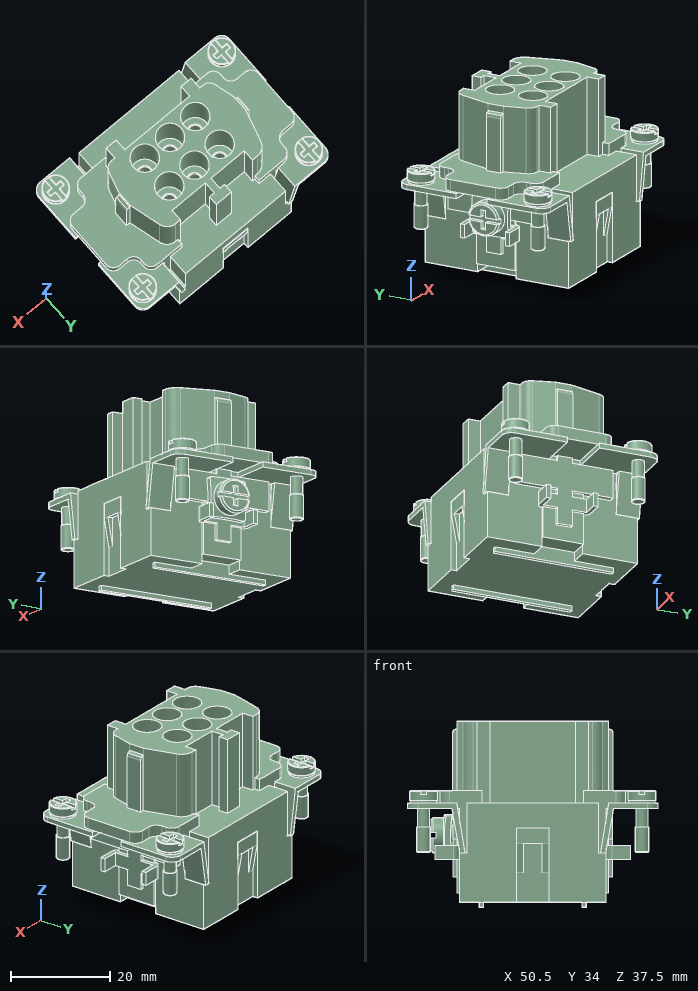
import cadquery as cq

hood_top = 36.5
body_top = 20.0
flange_top = 22.5

body_half_x = 14.8
body_half_y = 16.55
leg_seat_x = 13.25
leg_seat_z = 10.0
end_block_x = 16.1
end_block_half_y = 10.6
end_block_bottom = 12.8
end_pad_x = 15.3
end_pad_half_y = 4.45
end_pad_bottom = 1.9
foot_x = 10.35
foot_width = 0.9
foot_length = 26.1
foot_height = 1.0

latch_half_x = 3.25
latch_top = 15.0
latch_band_depth = 0.12
latch_band_bottom = 11.9
latch_depth = 1.2
latch_ramp_bottom = 6.0
latch_ramp_inner_x = 1.85

flange_half_x = 24.6
flange_end_half_y = 7.1
flange_shoulder_x = 18.65
flange_half_y = 11.85
flange_gap_x = 10.2
flange_radius = 1.9

hood_nose_x = 15.3
hood_nose_half_y = 1.75
hood_side_slope = 0.277
hood_back_y = 10.6
hood_back_wall_y = 8.05
hood_back_gap_x = 9.55
hood_front_y = 7.75
hood_lug_y = 10.4
hood_lug_inner_x = 8.6
hood_lug_outer_x = 11.25
hood_back_radius = 2.65
hood_front_radius = 2.05
key_stem_half_x = 0.75
key_head_half_x = 2.0
key_neck_y = 10.8
key_end_y = 12.9
rib_x = 16.2
rib_half_y = 1.67
rib_top = 35.0
rib_shoulder_x = 16.0
rib_shoulder_z = 34.7
rib_face_top = 34.05

cavity_pitch_x = 6.68
cavity_pitch_y = 7.6
cavity_radius = 2.95
cavity_depth = 12.0
contact_radius = 1.4
contact_depth = 8.0
contact_chamfer = 0.2

plate_half_x = 25.25
plate_half_y = 17.0
plate_thickness = 1.1
plate_corner_radius = 2.1
plate_notch_half_y = 3.55
plate_relief = 0.5
leg_top_outer_x = 16.3
leg_top_inner_x = 15.3
leg_foot_outer_x = 14.7
leg_foot_inner_x = 13.65
leg_inner_y = 11.85
tab_half_y = 1.67
tab_bottom = 5.1
arm_half_y = 5.7
arm_bottom = 8.6
arm_top = 11.5
arm_thickness = 1.0
arm_tip_x = 19.7
arm_bend_radius = 1.2

screw_x = 22.0
screw_y = 13.5
screw_head_radius = 2.8
screw_neck_radius = 2.65
screw_neck_height = 0.5
screw_head_chamfer = 0.15
screw_shank_radius = 1.25
screw_thread_radius = 1.4
screw_thread_top = 15.15
screw_tip_z = 10.1
screw_tip_chamfer = 0.15
screw_slot_width = 1.1
screw_slot_depth = 0.75
screw_cross_length = 3.6

terminal_z = 13.55
washer_size = 8.3
washer_crown_x = 18.25
washer_dome_radius = 20.8
washer_thickness = 1.25
washer_corner_radius = 0.4
terminal_shank_radius = 2.0
terminal_head_x = 20.5
terminal_head_radius = 3.55
terminal_head_chamfer = 0.4
terminal_slot_width = 1.05
terminal_slot_depth = 1.0
terminal_cross_length = 4.1

plate_bottom = body_top - plate_thickness
SIDES = (-1, 1)


def box(x0, x1, y0, y1, z0, z1):
    """Box between the given limits; limits on an axis may come in either order."""
    size = (abs(x1 - x0), abs(y1 - y0), abs(z1 - z0))
    middle = ((x0 + x1) / 2, (y0 + y1) / 2, (z0 + z1) / 2)
    return cq.Workplane("XY").box(*size).translate(middle)


def mirrored_ends(solid):
    """The solid together with its mirror image at the other X end."""
    return solid.union(solid.mirror("YZ"))


def make_latch_recess():
    """Cutter for the -Y face: a recess with a ramp along each side, under a shallow band."""
    face_y = -body_half_y
    floor_y = face_y + latch_depth
    band_y = face_y + latch_band_depth
    band = box(-latch_half_x, latch_half_x, face_y, band_y, latch_band_bottom, latch_top)
    cutter = box(-latch_half_x, latch_half_x, face_y, floor_y, 0, latch_band_bottom).union(band)
    ramp_outline = [
        (floor_y, latch_ramp_bottom),
        (floor_y, latch_band_bottom),
        (band_y, latch_band_bottom),
    ]
    ramp_width = latch_half_x - latch_ramp_inner_x
    for start_x in (-latch_half_x, latch_ramp_inner_x):
        ramp = cq.Workplane("YZ").workplane(offset=start_x).polyline(ramp_outline).close().extrude(ramp_width)
        cutter = cutter.cut(ramp)
    return cutter


def make_body():
    body = box(-body_half_x, body_half_x, -body_half_y, body_half_y, 0, body_top)
    for side_x in SIDES:
        for side_y in SIDES:
            body = body.cut(box(
                side_x * leg_seat_x, side_x * body_half_x,
                side_y * leg_inner_y, side_y * body_half_y,
                leg_seat_z, body_top,
            ))
        body = body.union(box(
            0, side_x * end_block_x, -end_block_half_y, end_block_half_y, end_block_bottom, plate_bottom,
        ))
        body = body.union(box(
            0, side_x * end_pad_x, -end_pad_half_y, end_pad_half_y, end_pad_bottom, end_block_bottom,
        ))
        body = body.cut(box(
            side_x * (foot_x + foot_width / 2), side_x * body_half_x,
            -end_pad_half_y, end_pad_half_y, 0, end_pad_bottom,
        ))
        foot = cq.Workplane("XY").box(foot_width, foot_length, foot_height, centered=(True, True, False))
        body = body.union(foot.translate((side_x * foot_x, 0, -foot_height)))
    latch = make_latch_recess()
    return body.cut(latch).cut(latch.mirror("XZ"))


def make_flange():
    height = flange_top - body_top
    wide = cq.Workplane("XY").rect(2 * flange_half_x, 2 * flange_end_half_y).extrude(height)
    deep = cq.Workplane("XY").rect(2 * flange_shoulder_x, 2 * flange_half_y).extrude(height)
    flange = wide.union(deep).edges("|Z").fillet(flange_radius)
    for side in SIDES:
        wall_y = hood_back_wall_y if side > 0 else -hood_front_y
        flange = flange.cut(box(-flange_gap_x, flange_gap_x, wall_y, side * flange_half_y, 0, height))
    return flange.translate((0, 0, body_top))


def make_hood():
    height = hood_top - body_top
    back_corner_x = hood_nose_x - hood_side_slope * (hood_back_y - hood_nose_half_y)
    front_corner_x = hood_nose_x - hood_side_slope * (hood_front_y - hood_nose_half_y)
    right_half = [
        (back_corner_x, hood_back_y),
        (hood_nose_x, hood_nose_half_y),
        (hood_nose_x, -hood_nose_half_y),
        (front_corner_x, -hood_front_y),
    ]
    left_half = [(-x, y) for x, y in reversed(right_half)]
    hood = cq.Workplane("XY").polyline(right_half + left_half).close().extrude(height)
    hood = hood.edges("|Z and >Y").fillet(hood_back_radius)
    hood = hood.edges("|Z and <Y").fillet(hood_front_radius)
    hood = hood.cut(box(-hood_back_gap_x, hood_back_gap_x, hood_back_wall_y, hood_back_y, 0, height))
    for side in SIDES:
        hood = hood.union(box(
            side * hood_lug_inner_x, side * hood_lug_outer_x, -hood_lug_y, 0, 0, height,
        ))
    hood = hood.union(box(-key_stem_half_x, key_stem_half_x, 0, key_neck_y, 0, height))
    hood = hood.union(box(-key_head_half_x, key_head_half_x, key_neck_y, key_end_y, 0, height))
    hood = hood.translate((0, 0, body_top))
    rib_outline = [
        (0, body_top),
        (rib_x, body_top),
        (rib_x, rib_face_top),
        (rib_shoulder_x, rib_shoulder_z),
        (hood_nose_x, rib_top),
        (0, rib_top),
    ]
    rib = cq.Workplane("XZ").polyline(rib_outline).close().extrude(rib_half_y, both=True)
    return hood.union(mirrored_ends(rib))


def make_cavities():
    """Cutter for the six contact cavities and the sockets in their floors."""
    floor_z = hood_top - cavity_depth
    mouth_radius = contact_radius + contact_chamfer
    socket_end = floor_z - contact_depth
    profile = (
        cq.Workplane("XZ")
        .moveTo(0, hood_top)
        .lineTo(cavity_radius, hood_top)
        .lineTo(cavity_radius, floor_z)
        .lineTo(mouth_radius, floor_z)
        .lineTo(contact_radius, floor_z - contact_chamfer)
        .lineTo(contact_radius, socket_end)
        .radiusArc((0, socket_end - contact_radius), contact_radius)
        .close()
    )
    cavity = profile.revolve(360, (0, 0, 0), (0, 1, 0))
    places = cq.Workplane("XY").rarray(cavity_pitch_x, cavity_pitch_y, 3, 2)
    return places.eachpoint(lambda place: cavity.val().moved(place))


def make_earth_tab():
    """Bent-down tab on the +X plate, with a pair of arms reaching outwards."""
    tab = box(body_half_x, end_block_x, -tab_half_y, tab_half_y, tab_bottom, body_top)
    clamp = box(body_half_x, arm_tip_x, -arm_half_y, arm_half_y, arm_bottom, arm_top)
    clamp = clamp.edges("|Z and <X").fillet(arm_bend_radius)
    arm_inner_y = arm_half_y - arm_thickness
    clamp = clamp.cut(box(end_block_x, arm_tip_x, -arm_inner_y, arm_inner_y, arm_bottom, arm_top))
    return tab.union(clamp)


def make_plate():
    """Mounting plate for the +X end, with its two sloping legs and the earth tab."""
    plate = box(body_half_x, plate_half_x, -plate_half_y, plate_half_y, plate_bottom, body_top)
    plate = plate.edges("|Z and >X").fillet(plate_corner_radius)
    plate = plate.cut(box(
        end_block_x - plate_relief, plate_half_x,
        -plate_notch_half_y, plate_notch_half_y, plate_bottom, body_top,
    ))
    leg_outline = [
        (leg_top_outer_x, plate_bottom),
        (leg_top_outer_x, body_top),
        (leg_top_inner_x, body_top),
        (leg_foot_inner_x, leg_seat_z),
        (leg_foot_outer_x, leg_seat_z),
    ]
    leg_width = plate_half_y - leg_inner_y
    leg = cq.Workplane("XZ").workplane(offset=leg_inner_y).polyline(leg_outline).close().extrude(leg_width)
    for side in SIDES:
        plate = plate.cut(box(
            body_half_x, leg_top_inner_x, side * leg_inner_y, side * plate_half_y, plate_bottom, body_top,
        ))
    plate = plate.union(leg).union(leg.mirror("XZ"))
    return plate.union(make_earth_tab())


def make_screw():
    """Captive screw on the Z axis, head resting on the plate."""
    neck = cq.Workplane("XY").workplane(offset=body_top).circle(screw_neck_radius).extrude(screw_neck_height)
    head_bottom = body_top + screw_neck_height
    head = cq.Workplane("XY").workplane(offset=head_bottom).circle(screw_head_radius)
    head = head.extrude(flange_top - head_bottom).faces(">Z").edges().chamfer(screw_head_chamfer)
    slot_floor = flange_top - screw_slot_depth
    half_width = screw_slot_width / 2
    half_cross = screw_cross_length / 2
    head = head.cut(box(
        -half_width, half_width, -screw_head_radius, screw_head_radius, slot_floor, flange_top,
    ))
    head = head.cut(box(-half_cross, half_cross, -half_width, half_width, slot_floor, flange_top))
    shank = cq.Workplane("XY").workplane(offset=screw_thread_top).circle(screw_shank_radius)
    shank = shank.extrude(body_top - screw_thread_top)
    thread = cq.Workplane("XY").workplane(offset=screw_tip_z).circle(screw_thread_radius)
    thread = thread.extrude(screw_thread_top - screw_tip_z).faces("<Z").edges().chamfer(screw_tip_chamfer)
    return neck.union(head).union(shank).union(thread)


def make_terminal():
    """Earth terminal: domed square washer and cross-slotted screw head facing -X."""
    washer = box(
        -end_block_x, -washer_crown_x, -washer_size / 2, washer_size / 2,
        terminal_z - washer_size / 2, terminal_z + washer_size / 2,
    )
    washer = washer.edges("|X").fillet(washer_corner_radius)
    dome = cq.Workplane("XY").sphere(washer_dome_radius)
    dome = dome.translate((washer_dome_radius - washer_crown_x, 0, terminal_z))
    washer = washer.intersect(dome).cut(dome.translate((washer_thickness, 0, 0)))
    shank = cq.Workplane("YZ", origin=(-end_block_x, 0, terminal_z)).circle(terminal_shank_radius)
    shank = shank.extrude(end_block_x - washer_crown_x)
    head_seat_x = washer_crown_x - washer_thickness / 2
    head = cq.Workplane("YZ", origin=(-head_seat_x, 0, terminal_z)).circle(terminal_head_radius)
    head = head.extrude(head_seat_x - terminal_head_x)
    head = head.faces("<X").edges().chamfer(terminal_head_chamfer)
    slot_floor_x = terminal_slot_depth - terminal_head_x
    half_width = terminal_slot_width / 2
    half_cross = terminal_cross_length / 2
    head = head.cut(box(
        -terminal_head_x, slot_floor_x, -terminal_head_radius, terminal_head_radius,
        terminal_z - half_width, terminal_z + half_width,
    ))
    head = head.cut(box(
        -terminal_head_x, slot_floor_x, -half_width, half_width,
        terminal_z - half_cross, terminal_z + half_cross,
    ))
    return washer.union(shank).union(head)


connector = make_body().union(make_flange()).union(make_hood()).cut(make_cavities())
connector = connector.union(mirrored_ends(make_plate()))
screw = make_screw()
for screw_side_x in SIDES:
    for screw_side_y in SIDES:
        connector = connector.union(screw.translate((screw_side_x * screw_x, screw_side_y * screw_y, 0)))
result = connector.union(make_terminal())